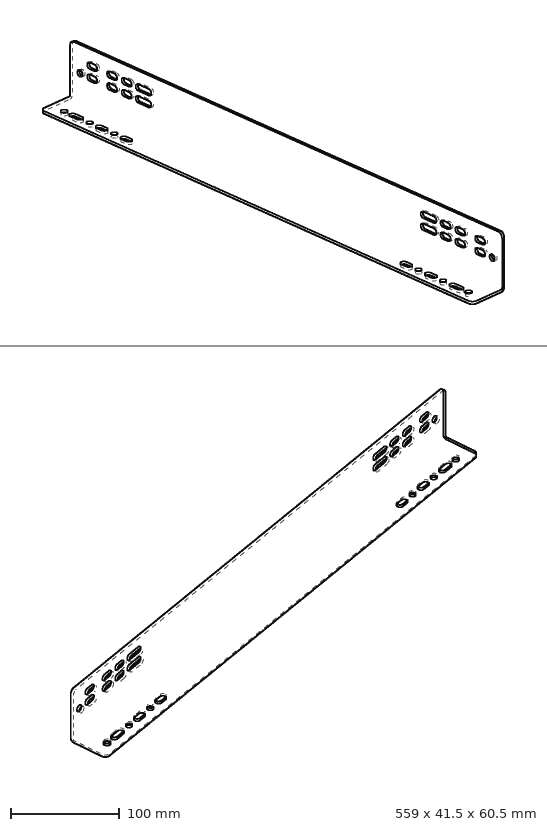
import cadquery as cq

length = 559.0
depth = 41.5
height = 60.5
thickness = 2.9
inner_bend_radius = 1.0
outer_bend_radius = inner_bend_radius + thickness
corner_radius = 5.0

opening_width = 6.5
small_hole_diameter = 6.0

upper_row_drop = 17.5
row_spacing = 12.5
wall_slots = [(251.0, 13.0), (225.0, 13.0), (206.0, 13.0), (184.5, 20.0)]
wall_end_hole_offset = 266.5

base_row_inset = 13.0
base_slots = [(246.0, 15.5), (213.0, 13.5), (181.0, 13.0)]
base_end_hole_offset = 261.5
base_small_hole_offsets = [228.5, 197.0]

back = depth / 2
front = -depth / 2
top = height / 2
bottom = -height / 2


def angle_body():
    """L-shaped sheet with a rounded bend and rounded free corners."""
    body = (
        cq.Workplane("YZ", origin=(-length / 2, 0, 0))
        .moveTo(front, bottom)
        .lineTo(back - outer_bend_radius, bottom)
        .radiusArc((back, bottom + outer_bend_radius), -outer_bend_radius)
        .lineTo(back, top)
        .lineTo(back - thickness, top)
        .lineTo(back - thickness, bottom + outer_bend_radius)
        .radiusArc((back - outer_bend_radius, bottom + thickness), inner_bend_radius)
        .lineTo(front, bottom + thickness)
        .close()
        .extrude(length)
    )
    body = body.faces(">Z").edges("|Y").fillet(corner_radius)
    return body.faces("<Y").edges("|Z").fillet(corner_radius)


def mirrored_holes(plane, offset, row, diameter, cut_depth):
    """Round hole cutters at both ends of the length."""
    return plane.pushPoints([(-offset, row), (offset, row)]).circle(diameter / 2).extrude(cut_depth)


def mirrored_slots(plane, offset, row, slot_length, cut_depth):
    """Lengthwise slot cutters at both ends of the length."""
    centres = [(-offset, row), (offset, row)]
    return plane.pushPoints(centres).slot2D(slot_length, opening_width).extrude(cut_depth)


def cut_wall_openings(body):
    """Two rows of slots and one pair of end holes through the upright wall."""
    wall_plane = cq.Workplane("XZ", origin=(0, back, 0))
    upper_row = top - upper_row_drop
    lower_row = upper_row - row_spacing
    for row in (upper_row, lower_row):
        for offset, slot_length in wall_slots:
            body = body.cut(mirrored_slots(wall_plane, offset, row, slot_length, thickness))
    return body.cut(mirrored_holes(wall_plane, wall_end_hole_offset, lower_row, opening_width, thickness))


def cut_base_openings(body):
    """One row of alternating holes and slots through the horizontal base."""
    base_plane = cq.Workplane("XY", origin=(0, 0, bottom))
    row = front + base_row_inset
    for offset, slot_length in base_slots:
        body = body.cut(mirrored_slots(base_plane, offset, row, slot_length, thickness))
    for offset in base_small_hole_offsets:
        body = body.cut(mirrored_holes(base_plane, offset, row, small_hole_diameter, thickness))
    return body.cut(mirrored_holes(base_plane, base_end_hole_offset, row, opening_width, thickness))


result = cut_base_openings(cut_wall_openings(angle_body()))